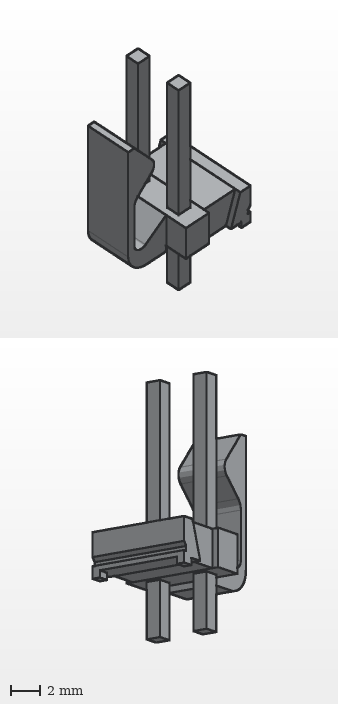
import cadquery as cq


overall_depth = 10.01
header_width = 7.77
header_height = 2.81
block_front = -1.19
block_back = 1.07
bridge_width = 6.78

pin_size = 1.14
pin_pitch = 3.96
pin_count = 2
pin_length = 18.29
pin_above = 11.40
pin_bottom = header_height + pin_above - pin_length
pin_positions = [((i - (pin_count - 1) / 2) * pin_pitch, 0) for i in range(pin_count)]

rail_back = 5.11
rail_top_depth = 1.00
rail_bottom_depth = 1.91
foot_width = 0.62
foot_depth = 0.88
foot_height = 0.51
groove_depth = 0.25
groove_bottom = 0.38
groove_shoulder = 0.72
groove_top = 1.03

arm_width = 3.93
arm_thickness = 0.61
arm_front = rail_back - overall_depth
arm_inner = arm_front + arm_thickness
arm_bottom = -foot_height
arm_top = header_height + 8.05
heel_radius = 1.78
valley_bottom = 0.58
valley_radius = 0.68
hook_point_y = -2.07
hook_point_z = 8.12
hook_tip_radius = 0.88
hook_root_z = hook_point_z - (hook_point_y - arm_inner)
hook_root_radius = 1.05


def extrude_side_profile(points, width):
    """Solid of the given X width, centred on X = 0, from an outline of (y, z) points."""
    return cq.Workplane("YZ").polyline(points).close().extrude(width / 2, both=True)


def round_corner(body, y, z, radius):
    """Round the edge along X that lies nearest to (y, z)."""
    corner = cq.NearestToPointSelector((0, y, z))
    return body.edges("|X").edges(corner).fillet(radius)


def make_pins():
    pins = []
    for position in pin_positions:
        pin = cq.Workplane("XY", origin=(0, 0, pin_bottom)).center(*position)
        pins.append(pin.rect(pin_size, pin_size).extrude(pin_length))
    return pins


def make_pin_block():
    outline = [
        (block_front, 0),
        (block_back, 0),
        (block_back, header_height),
        (block_front, header_height),
    ]
    block = extrude_side_profile(outline, header_width)
    holes = (
        cq.Workplane("XY")
        .pushPoints(pin_positions)
        .rect(pin_size, pin_size)
        .extrude(header_height)
    )
    return block.cut(holes)


def make_bridge():
    """Narrower piece filling the space between the pin block and the sloping rail face."""
    outline = [
        (block_back, 0),
        (rail_back - rail_bottom_depth, 0),
        (rail_back - rail_top_depth, header_height),
        (block_back, header_height),
    ]
    return extrude_side_profile(outline, bridge_width)


def make_rail():
    groove_floor = rail_back - groove_depth
    outline = [
        (rail_back - rail_bottom_depth, 0),
        (rail_back - foot_depth, 0),
        (rail_back - foot_depth, -foot_height),
        (rail_back, -foot_height),
        (rail_back, groove_bottom),
        (groove_floor, groove_bottom),
        (groove_floor, groove_shoulder),
        (rail_back, groove_top),
        (rail_back, header_height),
        (rail_back - rail_top_depth, header_height),
    ]
    rail = extrude_side_profile(outline, header_width)
    gap_outline = [
        (rail_back - foot_depth, -foot_height),
        (rail_back, -foot_height),
        (rail_back, 0),
        (rail_back - foot_depth, 0),
    ]
    gap_between_feet = extrude_side_profile(gap_outline, header_width - 2 * foot_width)
    return rail.cut(gap_between_feet)


def make_lock_arm():
    outline = [
        (block_front, arm_bottom),
        (arm_front, arm_bottom),
        (arm_front, arm_top),
        (arm_inner, arm_top),
        (hook_point_y, hook_point_z),
        (arm_inner, hook_root_z),
        (arm_inner, valley_bottom),
        (block_front, header_height),
    ]
    arm = extrude_side_profile(outline, arm_width)
    arm = round_corner(arm, arm_front, arm_bottom, heel_radius)
    arm = round_corner(arm, arm_inner, valley_bottom, valley_radius)
    arm = round_corner(arm, arm_inner, hook_root_z, hook_root_radius)
    return round_corner(arm, hook_point_y, hook_point_z, hook_tip_radius)


pins = make_pins()
pin_block = make_pin_block()
bridge = make_bridge()
rail = make_rail()
lock_arm = make_lock_arm()

result = cq.Compound.makeCompound(
    [
        *[pin.val() for pin in pins],
        pin_block.val(),
        bridge.val(),
        rail.val(),
        lock_arm.val(),
    ]
)